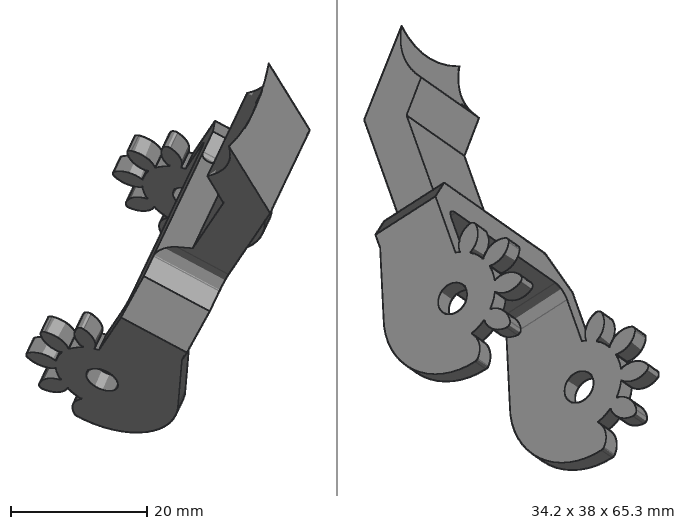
import cadquery as cq
import math

lean = 19.0
lean_sin = math.sin(math.radians(lean))
lean_cos = math.cos(math.radians(lean))

yoke_width = 38.0
leg_thickness = 3.0
bridge_top = 22.5
bridge_thickness = 5.6
bridge_chamfer = 5.0
inner_fillet = 2.15
lever_front = -2.9
lever_back = 8.15
back_bend = 15.0
hole_diameter = 5.0

outer_radius = 12.0
root_radius = 7.4
tooth_count = 5
first_tooth_angle = 107.0
tooth_pitch_angle = 36.0
tooth_root_half_width = 1.0
tooth_half_width = 1.55
tooth_tip_half_width = 0.5
tooth_widest_radius = 9.5
tooth_shoulder_radius = 11.8

arm_width = 16.05
arm_front = 1.55
arm_fillet = 2.0
ramp_top = 26.25
hook_inner_bend = 41.1
hook_outer_bend = 44.65
beak = (12.35, 43.9)
tip = (15.7, 53.25)
dish_side_mid = (15.5, 48.6)
dish_centre_mid = (15.15, 47.95)
tip_sag = 1.5

reach = 130.5
side_plane = cq.Plane((0, 0, 0), (lean_cos, 0, -lean_sin), (0, -1, 0))
front_plane = cq.Plane((0, 0, 0), (0, 1, 0), (lean_cos, 0, -lean_sin))


def to_lever(x, z):
    """Turn X, Z into (across, along)."""
    return (x * lean_cos - z * lean_sin, x * lean_sin + z * lean_cos)


def to_xz(across, along):
    """Turn (across, along) into X, Z."""
    return (across * lean_cos + along * lean_sin, along * lean_cos - across * lean_sin)


def make_tooth(angle):
    """One leaf-shaped tooth pointing out from the pivot."""
    return (
        cq.Workplane("XZ")
        .lineTo(root_radius, -tooth_root_half_width)
        .threePointArc(
            (tooth_widest_radius, -tooth_half_width), (tooth_shoulder_radius, -tooth_tip_half_width)
        )
        .threePointArc((outer_radius, 0), (tooth_shoulder_radius, tooth_tip_half_width))
        .threePointArc((tooth_widest_radius, tooth_half_width), (root_radius, tooth_root_half_width))
        .close()
        .extrude(yoke_width / 2, both=True)
        .rotate((0, 0, 0), (0, 1, 0), -angle)
    )


def make_yoke_side():
    """Side shape of the yoke, as wide as the whole part."""
    half = yoke_width / 2
    body = (
        cq.Workplane(side_plane)
        .polyline([
            (0, 0),
            (lever_front, 0),
            (lever_front, bridge_top),
            (lever_back, bridge_top),
            (lever_back, back_bend),
            to_lever(outer_radius, 0),
        ])
        .close()
        .extrude(half, both=True)
    )
    body = body.union(cq.Workplane("XZ").circle(root_radius).extrude(half, both=True))

    start = math.radians(first_tooth_angle + (tooth_count - 1) * tooth_pitch_angle)
    middle = (start + math.tau) / 2
    heel = (
        cq.Workplane("XZ")
        .lineTo(outer_radius * math.cos(start), outer_radius * math.sin(start))
        .threePointArc(
            (outer_radius * math.cos(middle), outer_radius * math.sin(middle)), (outer_radius, 0)
        )
        .close()
        .extrude(half, both=True)
    )
    body = body.union(heel)
    for index in range(tooth_count):
        body = body.union(make_tooth(first_tooth_angle + index * tooth_pitch_angle))
    hole = cq.Workplane("XZ").circle(hole_diameter / 2).extrude(yoke_width, both=True)
    return body.cut(hole)


def make_yoke_front():
    """U shape of the yoke, chamfered outside and rounded inside."""
    half = yoke_width / 2
    blank = (
        cq.Workplane(front_plane)
        .polyline([
            (-half, -reach),
            (-half, bridge_top - bridge_chamfer),
            (bridge_chamfer - half, bridge_top),
            (half - bridge_chamfer, bridge_top),
            (half, bridge_top - bridge_chamfer),
            (half, -reach),
        ])
        .close()
        .extrude(reach, both=True)
    )
    inner_half = half - leg_thickness
    inner_top = bridge_top - bridge_thickness
    gap = (
        cq.Workplane(front_plane)
        .moveTo(-inner_half, -2 * reach)
        .lineTo(-inner_half, inner_top - inner_fillet)
        .radiusArc((inner_fillet - inner_half, inner_top), inner_fillet)
        .lineTo(inner_half - inner_fillet, inner_top)
        .radiusArc((inner_half, inner_top - inner_fillet), inner_fillet)
        .lineTo(inner_half, -2 * reach)
        .close()
        .extrude(2 * reach, both=True)
    )
    return blank.cut(gap)


def make_arm():
    """Hooked arm whose sides flare out in fillets where it meets the bridge."""
    side = (
        cq.Workplane(side_plane)
        .polyline([
            (lever_front, bridge_top - bridge_thickness),
            (lever_front, bridge_top),
            (arm_front, ramp_top),
            (arm_front, hook_inner_bend),
            to_lever(*beak),
            to_lever(*tip),
            (lever_back, hook_outer_bend),
            (lever_back, bridge_top - bridge_thickness),
        ])
        .close()
        .extrude(yoke_width / 2, both=True)
    )
    half = arm_width / 2
    foot = half + arm_fillet
    front = (
        cq.Workplane(front_plane)
        .moveTo(-foot, bridge_top - bridge_thickness)
        .lineTo(-foot, bridge_top)
        .radiusArc((-half, bridge_top + arm_fillet), -arm_fillet)
        .lineTo(-half, reach)
        .lineTo(half, reach)
        .lineTo(half, bridge_top + arm_fillet)
        .radiusArc((foot, bridge_top), -arm_fillet)
        .lineTo(foot, bridge_top - bridge_thickness)
        .close()
        .extrude(reach, both=True)
    )
    return side.intersect(front)


def dish_section(y, middle, top):
    """Closed outline of the dish cutter at one Y position."""
    margin = 2.6
    ceiling = tip[1] + margin
    outline = [top, (tip[0] + margin, top[1]), (tip[0] + margin, ceiling), (beak[0] - margin, ceiling), beak]
    points = [cq.Vector(x, y, z) for x, z in outline]
    curve = cq.Edge.makeSpline([cq.Vector(x, y, z) for x, z in (beak, middle, top)])
    lines = [cq.Edge.makeLine(a, b) for a, b in zip(points, points[1:])]
    return cq.Wire.assembleEdges([curve] + lines)


def make_dish():
    """Cutter for the dished end, deeper in the middle of the arm than at its sides."""
    half = arm_width / 2
    bend_x, bend_z = to_xz(lever_back, hook_outer_bend)
    sag_x = tip_sag * (bend_x - tip[0]) / (tip[1] - bend_z)
    centre_top = (tip[0] + sag_x, tip[1] - tip_sag)
    sections = [
        dish_section(-half, dish_side_mid, tip),
        dish_section(0, dish_centre_mid, centre_top),
        dish_section(half, dish_side_mid, tip),
    ]
    return cq.Workplane(cq.Solid.makeLoft(sections))


yoke = make_yoke_side().intersect(make_yoke_front())
arm = make_arm().cut(make_dish())
result = yoke.union(arm)